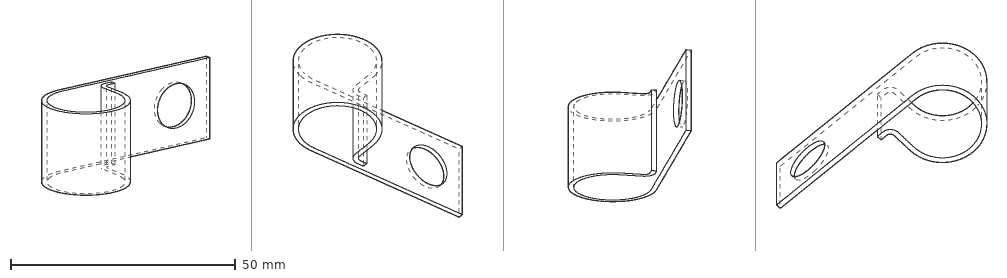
import cadquery as cq
import math

total_length = 51.2
strip_width = 19.05
thickness = 1.25

loop_outer_radius = 9.95
loop_inner_radius = loop_outer_radius - thickness
leg_end = total_length - loop_outer_radius

lip_outer_offset = 7.55
lip_end = 12.85
bend_inner_radius = 1.25
bend_outer_radius = bend_inner_radius + thickness
bend_center_x = bend_outer_radius - lip_outer_offset
bend_center_y = loop_inner_radius + bend_outer_radius

hole_diameter = 10.35
hole_end_distance = 9.5


def diagonal_point(center_x, center_y, radius, x_sign):
    """Point on a circle 45 degrees below its centre, to the side given by x_sign."""
    offset = radius * math.sqrt(0.5)
    return (center_x + x_sign * offset, center_y - offset)


def make_strip():
    """Extrude the bent strip profile: leg, three-quarter loop, short flat and lip."""
    profile = (
        cq.Workplane("XY")
        .moveTo(-loop_outer_radius, leg_end)
        .lineTo(-loop_outer_radius, 0)
        .threePointArc(diagonal_point(0, 0, loop_outer_radius, 1), (0, loop_outer_radius))
        .lineTo(bend_center_x, loop_outer_radius)
        .threePointArc(
            diagonal_point(bend_center_x, bend_center_y, bend_inner_radius, -1),
            (bend_center_x - bend_inner_radius, bend_center_y),
        )
        .lineTo(bend_center_x - bend_inner_radius, lip_end)
        .lineTo(-lip_outer_offset, lip_end)
        .lineTo(-lip_outer_offset, bend_center_y)
        .threePointArc(
            diagonal_point(bend_center_x, bend_center_y, bend_outer_radius, -1),
            (bend_center_x, loop_inner_radius),
        )
        .lineTo(0, loop_inner_radius)
        .threePointArc(diagonal_point(0, 0, loop_inner_radius, 1), (-loop_inner_radius, 0))
        .lineTo(-loop_inner_radius, leg_end)
        .close()
    )
    return profile.extrude(strip_width)


def make_hole_cutter():
    """Cylinder along X that crosses only the leg, at half the strip width."""
    return (
        cq.Workplane("YZ", origin=(-loop_outer_radius, 0, 0))
        .center(leg_end - hole_end_distance, strip_width / 2)
        .circle(hole_diameter / 2)
        .extrude(thickness)
    )


result = make_strip().cut(make_hole_cutter())